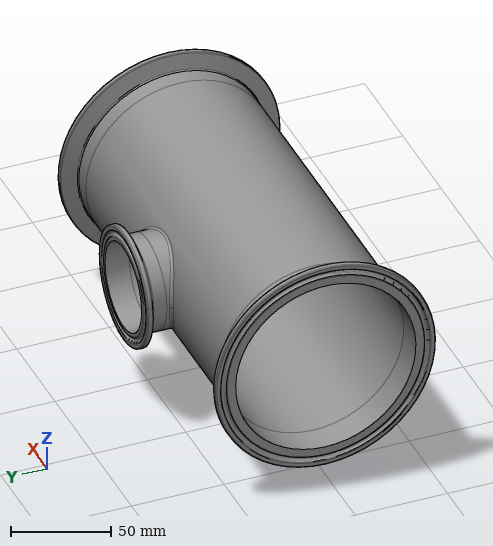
import cadquery as cq
import math


run_length = 206.38
run_outer_diameter = 101.6
run_bore_diameter = 97.38
branch_reach = 66.68
branch_outer_diameter = 50.8
branch_bore_diameter = 47.5
saddle_fillet = 1.5

run_flange_diameter = 118.92
branch_flange_diameter = 63.91
run_ferrule_length = 15.88
branch_ferrule_length = 13.0
rim_thickness = 3.0
rim_edge_radius = 0.6
clamp_angle = math.radians(20)
neck_fillet = 0.8

groove_width = 3.0
groove_depth = 1.6
groove_inset = 4.4
groove_lip_radius = 0.4

radius_tolerance = 0.001


def ferrule(tube_diameter, bore_diameter, flange_diameter, length):
    """Ferrule on the Z axis, with its sealing face at Z = 0 and its tube towards +Z."""
    tube_radius = tube_diameter / 2
    bore_radius = bore_diameter / 2
    flange_radius = flange_diameter / 2
    groove_radius = flange_radius - groove_inset
    cone_end = rim_thickness + (flange_radius - tube_radius) * math.tan(clamp_angle)

    body = (
        cq.Workplane("XZ")
        .moveTo(bore_radius, 0)
        .lineTo(groove_radius - groove_width / 2, 0)
        .threePointArc((groove_radius, groove_depth), (groove_radius + groove_width / 2, 0))
        .lineTo(flange_radius, 0)
        .lineTo(flange_radius, rim_thickness)
        .lineTo(tube_radius, cone_end)
        .lineTo(tube_radius, length)
        .lineTo(bore_radius, length)
        .close()
        .revolve(360, (0, 0, 0), (0, 1, 0))
    )

    neck_circle = cq.selectors.NearestToPointSelector((0, 0, cone_end))
    body = body.edges("%CIRCLE").edges(neck_circle).fillet(neck_fillet)
    for side in (-1, 1):
        lip_radius = groove_radius + side * groove_width / 2
        lip = body.edges("%CIRCLE").filter(lambda edge: abs(edge.radius() - lip_radius) < radius_tolerance)
        body = lip.fillet(groove_lip_radius)
    rim_circles = cq.selectors.RadiusNthSelector(-1)
    return body.edges("%CIRCLE").edges(rim_circles).fillet(rim_edge_radius)


def tee_body():
    """Run and branch tubes between the weld seams, blended together and bored through."""
    run_half_length = run_length / 2 - run_ferrule_length
    branch_length = branch_reach - branch_ferrule_length
    run = cq.Workplane("YZ").circle(run_outer_diameter / 2).extrude(run_half_length, both=True)
    branch = cq.Workplane("XZ").circle(branch_outer_diameter / 2).extrude(-branch_length)
    saddle_edge = "not (%CIRCLE or %LINE)"
    body = run.union(branch).edges(saddle_edge).fillet(saddle_fillet)

    run_bore = cq.Workplane("YZ").circle(run_bore_diameter / 2).extrude(run_half_length, both=True)
    branch_bore = cq.Workplane("XZ").circle(branch_bore_diameter / 2).extrude(-branch_length)
    return body.cut(run_bore).cut(branch_bore)


def add_ferrules(body):
    """Join a ferrule to each tube end; clean=False keeps the weld seams as face boundaries."""
    run_ferrule = ferrule(run_outer_diameter, run_bore_diameter, run_flange_diameter, run_ferrule_length)
    for side in (-1, 1):
        run_end = run_ferrule.rotate((0, 0, 0), (0, 1, 0), -90 * side)
        body = body.union(run_end.translate((side * run_length / 2, 0, 0)), clean=False)

    branch_ferrule = ferrule(
        branch_outer_diameter, branch_bore_diameter, branch_flange_diameter, branch_ferrule_length
    )
    branch_end = branch_ferrule.rotate((0, 0, 0), (1, 0, 0), 90)
    return body.union(branch_end.translate((0, branch_reach, 0)), clean=False)


result = add_ferrules(tee_body())